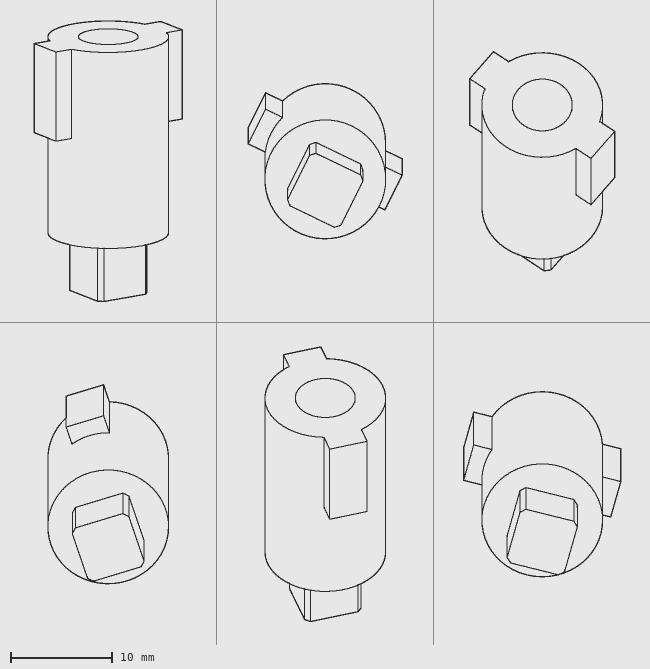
import cadquery as cq
import math

total_height = 26
shank_height = 6.0
body_diameter = 11.9
lug_span = 15.0
lug_width = 3.87
lug_height = 9.1
shank_width = 5.85
shank_chamfer = 0.47
bore_diameter = 5.9
bore_depth = 15.0
drill_point_angle = 118

body_height = total_height - shank_height
bore_radius = bore_diameter / 2
point_depth = bore_radius / math.tan(math.radians(drill_point_angle / 2))


def make_shank():
    """Square drive shank with chamfered corners, standing on Z = 0."""
    shank = cq.Workplane("XY").rect(shank_width, shank_width).extrude(shank_height)
    return shank.edges("|Z").chamfer(shank_chamfer)


def make_body():
    """Round body above the shank."""
    base = cq.Workplane("XY").workplane(offset=shank_height)
    return base.circle(body_diameter / 2).extrude(body_height)


def make_lugs():
    """Bar across the body whose two ends form the opposite lugs."""
    top = cq.Workplane("XY").workplane(offset=total_height)
    return top.rect(lug_width, lug_span).extrude(-lug_height)


def make_bore():
    """Blind drilled hole from the top, ending in a conical point."""
    bore_floor = total_height - bore_depth
    profile = (
        cq.Workplane("XZ")
        .moveTo(0, total_height)
        .lineTo(bore_radius, total_height)
        .lineTo(bore_radius, bore_floor)
        .lineTo(0, bore_floor - point_depth)
        .close()
    )
    return profile.revolve(360, (0, 0, 0), (0, 1, 0))


result = make_body().union(make_shank()).union(make_lugs()).cut(make_bore())